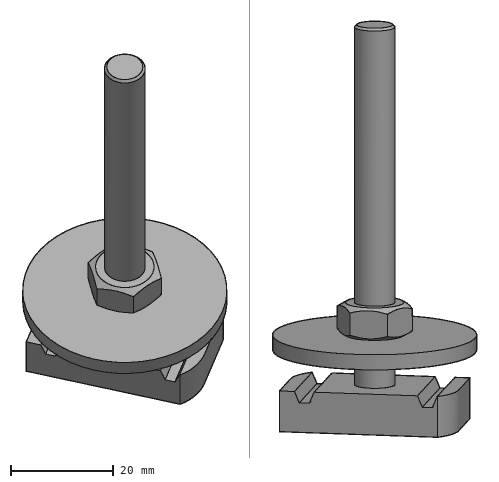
import cadquery as cq
import math

total_height = 80
rod_diameter = 8
rod_chamfer = 0.5

block_length = 34.4
block_width = 19.6
block_height = 8.2
round_start_y = 2.8
round_radius = 9.9
groove_offset = 12.2
groove_top_width = 3.9
groove_floor_width = 2.0
groove_depth = 2.2

washer_diameter = 40
washer_thickness = 3.0
washer_bottom = 15.0

nut_across_flats = 13.0
nut_height = 6.5
nut_face_diameter = 11.4
nut_chamfer_angle = 30
nut_bottom = washer_bottom + washer_thickness


def round_point(angle):
    """Point on the rounded +X, -Y corner; angle 0 is where it leaves the end face."""
    centre_x = block_length / 2 - round_radius
    return (
        centre_x + round_radius * math.cos(angle),
        -round_start_y - round_radius * math.sin(angle),
    )


def opposite(point):
    """Point turned half a revolution about the rod axis."""
    return (-point[0], -point[1])


def make_block():
    """Block with two diagonally opposite rounded corners and two grooves along Y."""
    half_length = block_length / 2
    half_width = block_width / 2
    end_angle = math.asin((half_width - round_start_y) / round_radius)
    arc_start = round_point(0)
    arc_middle = round_point(end_angle / 2)
    arc_end = round_point(end_angle)
    block = (
        cq.Workplane("XY")
        .moveTo(half_length, half_width)
        .lineTo(*arc_start)
        .threePointArc(arc_middle, arc_end)
        .lineTo(-half_length, -half_width)
        .lineTo(*opposite(arc_start))
        .threePointArc(opposite(arc_middle), opposite(arc_end))
        .close()
        .extrude(block_height)
    )
    floor_z = block_height - groove_depth
    for x in (-groove_offset, groove_offset):
        groove = (
            cq.Workplane("XZ")
            .polyline([
                (x - groove_top_width / 2, block_height),
                (x - groove_floor_width / 2, floor_z),
                (x + groove_floor_width / 2, floor_z),
                (x + groove_top_width / 2, block_height),
            ])
            .close()
            .extrude(half_width, both=True)
        )
        block = block.cut(groove)
    return block


def make_nut():
    """Hex nut with corners on the X axis and conical chamfers on both faces."""
    corner_radius = nut_across_flats / math.sqrt(3)
    face_radius = nut_face_diameter / 2
    chamfer_drop = (corner_radius - face_radius) * math.tan(math.radians(nut_chamfer_angle))
    hexagon = cq.Workplane("XY").polygon(6, 2 * corner_radius).extrude(nut_height)
    envelope = (
        cq.Workplane("XZ")
        .polyline([
            (0, 0),
            (face_radius, 0),
            (corner_radius, chamfer_drop),
            (corner_radius, nut_height - chamfer_drop),
            (face_radius, nut_height),
            (0, nut_height),
        ])
        .close()
        .revolve(360, (0, 0, 0), (0, 1, 0))
    )
    return hexagon.intersect(envelope).translate((0, 0, nut_bottom))


rod = (
    cq.Workplane("XY")
    .circle(rod_diameter / 2)
    .extrude(total_height)
    .faces(">Z")
    .chamfer(rod_chamfer)
)
washer = (
    cq.Workplane("XY", origin=(0, 0, washer_bottom))
    .circle(washer_diameter / 2)
    .extrude(washer_thickness)
)

result = make_block().union(rod).union(washer).union(make_nut())